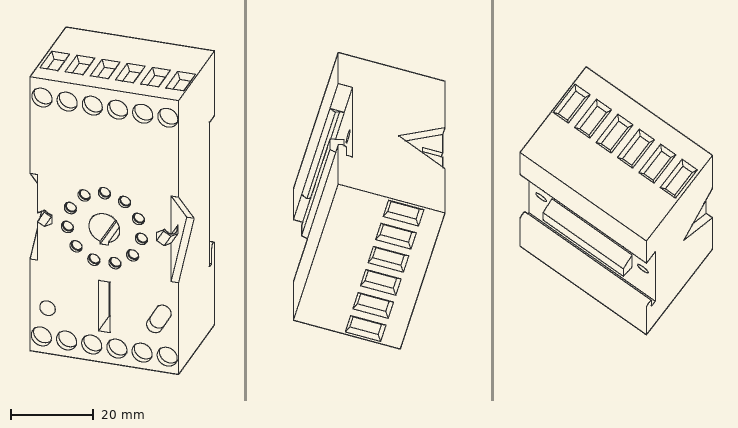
import cadquery as cq
import math


WIDTH = 37.85
DEPTH = 26.92
HEIGHT = 74.93
HALF_HEIGHT = HEIGHT / 2

AXIS_Z = -0.65

KEYHOLE_DIAMETER = 7.8
KEY_WIDTH = 2.05
KEY_REACH = 4.5
KEYHOLE_DEPTH = 12.0

PIN_COUNT = 11
PIN_CIRCLE_RADIUS = 9.525
PIN_DIAMETER = 2.55
PIN_DEPTH = 10.0
PIN_RECESS_DIAMETER = 3.05
PIN_RECESS_DEPTH = 0.9

MOUNT_X = 15.24
MOUNT_DIAMETER = 3.15
MOUNT_HEX_ACROSS_CORNERS = 4.4
MOUNT_HEX_DEPTH = 5.1

NOTCH_WIDTH = 1.9
NOTCH_REACH = 11.7

TERMINALS_PER_ROW = 6
TERMINAL_PITCH = 6.41
SCREW_DIAMETER = 5.1
SCREW_DEPTH = 1.7
TOP_ROW_X = 0.15
TOP_ROW_Z = 32.3
BOTTOM_ROW_X = 0.0
BOTTOM_ROW_Z = -33.05

WIRE_MOUTH_X = 4.55
WIRE_MOUTH_Y = 8.9
WIRE_CENTRE_Y = 9.6
WIRE_DEPTH = 1.6
WIRE_TAPER_ANGLE = 29.0

BAR_SLOT_WIDTH = 2.95
BAR_SLOT_TOP = -15.2
BAR_SLOT_BOTTOM = -29.0
BAR_SLOT_DEPTH = 8.0
ROUND_HOLE_X = -14.45
ROUND_HOLE_Z = -25.05
ROUND_HOLE_DIAMETER = 3.95
ROUND_HOLE_DEPTH = 8.0
OBLIQUE_SLOT_X = 13.9
OBLIQUE_SLOT_Z = -23.1
OBLIQUE_SLOT_SPACING = 4.55
OBLIQUE_SLOT_WIDTH = 3.95
OBLIQUE_SLOT_ANGLE = 60.0
OBLIQUE_SLOT_DEPTH = 2.5

RAIL_DEPTH = 3.6
RAIL_TOP = 19.7
RAIL_BOTTOM = -19.75
LIP_THICKNESS = 2.1
LIP_TOP = -14.4
HOOK_DROP = 1.35
HOOK_ROOT = 0.25
BOSS_BASE_HALF = 4.85
BOSS_TIP_HALF = 2.95
RAIL_FITTING_WIDTH = 24.0


def front_plane(x, z):
    """Plane on the front face whose normal points out of the part (-Y)."""
    return cq.Workplane("XZ", origin=(x, 0, z))


def side_prism(points, x_start, length):
    """Prism along +X from a closed outline of (Y, Z) points."""
    return cq.Workplane("YZ", origin=(x_start, 0, 0)).polyline(points).close().extrude(length)


def round_cut(x, z, diameter, depth):
    return front_plane(x, z).circle(diameter / 2).extrude(-depth)


def make_body():
    """Block with the rail recess cut out, leaving a round-topped lip at the bottom."""
    recess_y = DEPTH - RAIL_DEPTH
    lip_y = DEPTH - LIP_THICKNESS
    lip_radius = LIP_THICKNESS / 2
    lip_shoulder = LIP_TOP - lip_radius
    return (
        cq.Workplane("YZ", origin=(-WIDTH / 2, 0, 0))
        .moveTo(0, -HALF_HEIGHT)
        .lineTo(DEPTH, -HALF_HEIGHT)
        .lineTo(DEPTH, lip_shoulder)
        .threePointArc((DEPTH - lip_radius, LIP_TOP), (lip_y, lip_shoulder))
        .lineTo(lip_y, RAIL_BOTTOM)
        .lineTo(recess_y, RAIL_BOTTOM)
        .lineTo(recess_y, RAIL_TOP)
        .lineTo(DEPTH, RAIL_TOP)
        .lineTo(DEPTH, HALF_HEIGHT)
        .lineTo(0, HALF_HEIGHT)
        .close()
        .extrude(WIDTH)
    )


def make_rail_fittings():
    """Hook at the top of the rail recess and tapered boss on its floor."""
    recess_y = DEPTH - RAIL_DEPTH
    hook = [
        (DEPTH, RAIL_TOP),
        (DEPTH - HOOK_DROP, RAIL_TOP - HOOK_DROP),
        (DEPTH - 2 * HOOK_DROP + HOOK_ROOT, RAIL_TOP - HOOK_ROOT),
        (recess_y, RAIL_TOP - HOOK_ROOT),
        (recess_y, RAIL_TOP),
    ]
    boss = [
        (recess_y, AXIS_Z - BOSS_BASE_HALF),
        (DEPTH, AXIS_Z - BOSS_TIP_HALF),
        (DEPTH, AXIS_Z + BOSS_TIP_HALF),
        (recess_y, AXIS_Z + BOSS_BASE_HALF),
    ]
    x_start = -RAIL_FITTING_WIDTH / 2
    return [side_prism(outline, x_start, RAIL_FITTING_WIDTH) for outline in (hook, boss)]


def make_side_notches():
    outline = [(0, AXIS_Z - NOTCH_REACH), (NOTCH_REACH, AXIS_Z), (0, AXIS_Z + NOTCH_REACH)]
    x_starts = (-WIDTH / 2, WIDTH / 2 - NOTCH_WIDTH)
    return [side_prism(outline, x_start, NOTCH_WIDTH) for x_start in x_starts]


def make_keyhole():
    bore = round_cut(0, AXIS_Z, KEYHOLE_DIAMETER, KEYHOLE_DEPTH)
    key = front_plane(0, AXIS_Z - KEY_REACH / 2).rect(KEY_WIDTH, KEY_REACH).extrude(-KEYHOLE_DEPTH)
    return bore.union(key)


def make_pin_sockets():
    cuts = []
    for index in range(PIN_COUNT):
        angle = math.pi / 2 + index * 2 * math.pi / PIN_COUNT
        x = PIN_CIRCLE_RADIUS * math.cos(angle)
        z = AXIS_Z + PIN_CIRCLE_RADIUS * math.sin(angle)
        cuts.append(round_cut(x, z, PIN_DIAMETER, PIN_DEPTH))
        cuts.append(round_cut(x, z, PIN_RECESS_DIAMETER, PIN_RECESS_DEPTH))
    return cuts


def make_mounting_holes():
    cuts = []
    for x in (-MOUNT_X, MOUNT_X):
        cuts.append(round_cut(x, AXIS_Z, MOUNT_DIAMETER, DEPTH))
        hexagon = front_plane(x, AXIS_Z).transformed(rotate=(0, 0, 90))
        cuts.append(hexagon.polygon(6, MOUNT_HEX_ACROSS_CORNERS).extrude(-MOUNT_HEX_DEPTH))
    return cuts


def make_terminal_row(row_x, screw_z, end_z, inward):
    """One row of screw holes and wire entries; inward is the Z direction into the body."""
    cuts = []
    for index in range(TERMINALS_PER_ROW):
        x = row_x + (index - (TERMINALS_PER_ROW - 1) / 2) * TERMINAL_PITCH
        cuts.append(round_cut(x, screw_z, SCREW_DIAMETER, SCREW_DEPTH))
        mouth = cq.Plane(origin=(x, WIRE_CENTRE_Y, end_z), xDir=(1, 0, 0), normal=(0, 0, inward))
        wire_entry = (
            cq.Workplane(mouth)
            .rect(WIRE_MOUTH_X, WIRE_MOUTH_Y)
            .extrude(WIRE_DEPTH, taper=WIRE_TAPER_ANGLE)
        )
        cuts.append(wire_entry)
    return cuts


def make_lower_openings():
    bar_slot = (
        front_plane(0, (BAR_SLOT_TOP + BAR_SLOT_BOTTOM) / 2)
        .rect(BAR_SLOT_WIDTH, BAR_SLOT_TOP - BAR_SLOT_BOTTOM)
        .extrude(-BAR_SLOT_DEPTH)
    )
    round_hole = round_cut(ROUND_HOLE_X, ROUND_HOLE_Z, ROUND_HOLE_DIAMETER, ROUND_HOLE_DEPTH)
    oblique_slot = (
        front_plane(OBLIQUE_SLOT_X, OBLIQUE_SLOT_Z)
        .slot2D(OBLIQUE_SLOT_SPACING + OBLIQUE_SLOT_WIDTH, OBLIQUE_SLOT_WIDTH, OBLIQUE_SLOT_ANGLE)
        .extrude(-OBLIQUE_SLOT_DEPTH)
    )
    return [bar_slot, round_hole, oblique_slot]


result = make_body()
for fitting in make_rail_fittings():
    result = result.union(fitting)

cutters = [make_keyhole()]
cutters += make_side_notches()
cutters += make_pin_sockets()
cutters += make_mounting_holes()
cutters += make_terminal_row(TOP_ROW_X, TOP_ROW_Z, HALF_HEIGHT, -1)
cutters += make_terminal_row(BOTTOM_ROW_X, BOTTOM_ROW_Z, -HALF_HEIGHT, 1)
cutters += make_lower_openings()
for cutter in cutters:
    result = result.cut(cutter)